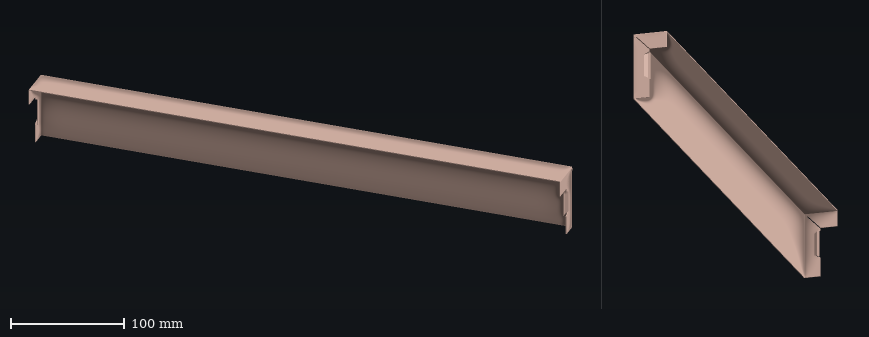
import cadquery as cq

length = 502.0
depth = 31.0
height = 60.0
sheet = 0.75
bend_radius = 1.0
lip = 15.0

ear_reach = 0.5
ear_size = 2.0
ear_inset = 1.0

slit_width = 0.5
slit_start = 2.5

tab_root = 10.0
tab_reach = 2.5
tab_slope = 3.0
tab_centre = 30.0
tab_root_height = 20.0
tab_edge_height = 25.0

body_length = length - 2 * ear_reach
half_length = body_length / 2
back = depth / 2
lip_front = back - lip


def angle_prism(offset, prism_length):
    """L-shaped prism along X, its back and top set in by the offset."""
    return (
        cq.Workplane("YZ", origin=(-prism_length / 2, 0, 0))
        .moveTo(back - offset, 0)
        .lineTo(back - offset, height - offset)
        .lineTo(-back, height - offset)
        .lineTo(-back, height - lip)
        .lineTo(lip_front, height - lip)
        .lineTo(lip_front, 0)
        .close()
        .extrude(prism_length)
    )


def round_bends(prism, radius):
    """Round the long corner bend and the four bends at the ends."""
    corner_bend = prism.faces(">Y").edges(">Z")
    back_bends = prism.faces(">Y").edges("|Z")
    top_bends = prism.faces(">Z").edges("|Y")
    bends = corner_bend.add(back_bends).add(top_bends)
    return prism.newObject(bends.vals()).fillet(radius)


def mitre_slits():
    """Diagonal slot through both ends, from near the corner to the lip edges."""
    half_slit = slit_width / 2
    start_y = back - slit_start
    start_z = height - slit_start
    end_y = lip_front
    end_z = height - lip
    slot = (
        cq.Workplane("YZ", origin=(-half_length, 0, 0))
        .moveTo(start_y - half_slit, start_z + half_slit)
        .lineTo(start_y + half_slit, start_z - half_slit)
        .lineTo(end_y + half_slit, end_z - half_slit)
        .lineTo(end_y - half_slit, end_z - half_slit)
        .lineTo(end_y - half_slit, end_z + half_slit)
        .close()
        .extrude(body_length)
    )
    core = cq.Workplane().box(body_length - 2 * bend_radius, depth, 2 * height)
    return slot.cut(core)


def tab_outline():
    """Trapezoid of the tab, widest at its free edge, extruded over the length."""
    return (
        cq.Workplane("YZ", origin=(-half_length, 0, 0))
        .moveTo(back - tab_root, tab_centre - tab_root_height / 2)
        .lineTo(back - tab_root, tab_centre + tab_root_height / 2)
        .lineTo(lip_front, tab_centre + tab_edge_height / 2)
        .lineTo(lip_front, tab_centre - tab_edge_height / 2)
        .close()
        .extrude(body_length)
    )


def stepped_sheet():
    """Sheet at the left end, sloping inwards from the tab root, then straight."""
    outside = -half_length
    inside = outside + sheet
    root_y = back - tab_root
    slope_end_y = root_y - tab_slope
    return (
        cq.Workplane("XY")
        .moveTo(outside, root_y)
        .lineTo(inside, root_y)
        .lineTo(inside + tab_reach, slope_end_y)
        .lineTo(inside + tab_reach, lip_front)
        .lineTo(outside + tab_reach, lip_front)
        .lineTo(outside + tab_reach, slope_end_y)
        .close()
        .extrude(height)
    )


def right_ear():
    """Block at the right end, rooted in the sheet beside the corner bend."""
    ear_length = ear_reach + sheet
    return cq.Workplane().box(ear_length, ear_size, ear_size, centered=False).translate(
        (half_length - sheet, back - ear_inset - ear_size, height - ear_inset - ear_size)
    )


outer = round_bends(angle_prism(0, body_length), bend_radius)
inner = round_bends(angle_prism(sheet, body_length - 2 * sheet), bend_radius - sheet)
cover = outer.cut(inner).cut(mitre_slits())

cover = cover.cut(tab_outline())
left_tab = stepped_sheet().intersect(tab_outline())
cover = cover.union(left_tab).union(left_tab.mirror("YZ"))

ear = right_ear()
result = cover.union(ear).union(ear.mirror("YZ"))